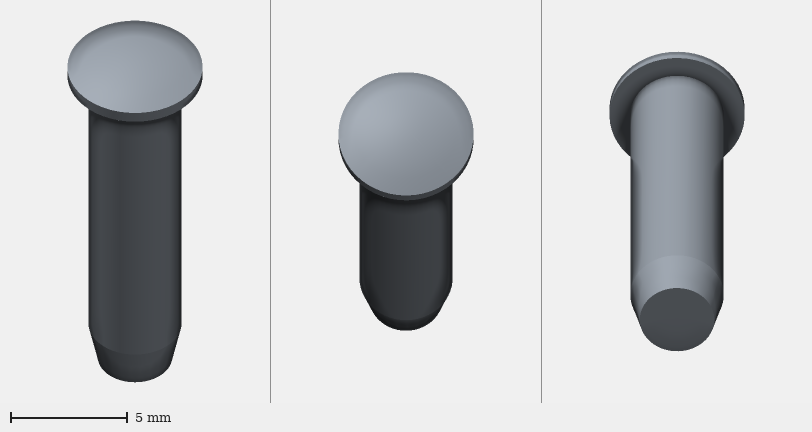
import cadquery as cq

total_height = 17.56
shank_diameter = 4.0
tip_diameter = 3.2
tip_length = 2.0
head_diameter = 5.8
head_underside = 16.5
rim_thickness = 0.51

shank_radius = shank_diameter / 2
tip_radius = tip_diameter / 2
head_radius = head_diameter / 2
rim_top = head_underside + rim_thickness

dome_height = total_height - rim_top
dome_radius = (head_radius**2 + dome_height**2) / (2 * dome_height)
dome_center = total_height - dome_radius
dome_mid_x = head_radius / 2
dome_mid_z = dome_center + (dome_radius**2 - dome_mid_x**2) ** 0.5

profile = (
    cq.Workplane("XZ")
    .moveTo(0, 0)
    .lineTo(tip_radius, 0)
    .lineTo(shank_radius, tip_length)
    .lineTo(shank_radius, head_underside)
    .lineTo(head_radius, head_underside)
    .lineTo(head_radius, rim_top)
    .threePointArc((dome_mid_x, dome_mid_z), (0, total_height))
    .close()
)

result = profile.revolve(360, (0, 0, 0), (0, 1, 0))